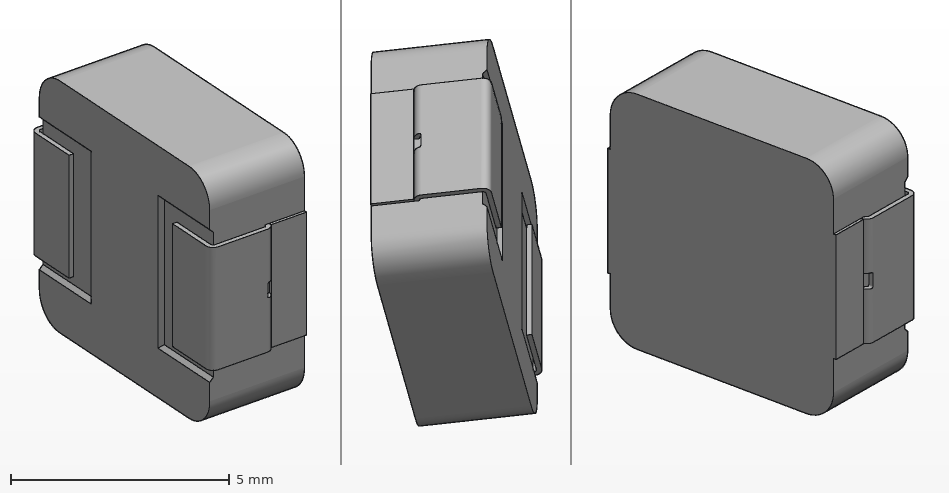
import cadquery as cq

overall_length = 7.0
overall_depth = 2.8

body_size = 6.6
body_half = body_size / 2
corner_radius = 0.8
foot_protrusion = 0.105
body_depth = overall_depth - foot_protrusion
back_y = overall_depth / 2
front_y = back_y - body_depth

recess_length = 2.01
recess_height = 4.005
recess_depth = 0.105
recess_wall_angle = 45

terminal_height = 3.22
terminal_thickness = 0.125
bend_radius = 0.2
foot_length = 1.5
plate_thickness = 0.08
plate_depth = 1.0
terminal_outer_x = overall_length / 2
terminal_front_y = -overall_depth / 2
bend_y = back_y - plate_depth

notch_height = 0.405
notch_depth = 0.19
notch_corner_radius = 0.05


def box_between(x_range, y_range, height):
    """Box spanning the given X and Y ranges, centred on Z = 0."""
    (x0, x1), (y0, y1) = x_range, y_range
    return (
        cq.Workplane("XY")
        .box(x1 - x0, y1 - y0, height)
        .translate(((x0 + x1) / 2, (y0 + y1) / 2, 0))
    )


def make_body():
    body = box_between((-body_half, body_half), (front_y, back_y), body_size)
    return body.edges("|Y").fillet(corner_radius)


def make_recess():
    """Cutter with sloped walls, centred on the side face so that it opens sideways."""
    return (
        cq.Workplane("XZ", origin=(body_half, front_y, 0))
        .rect(2 * recess_length, recess_height)
        .extrude(-recess_depth, taper=recess_wall_angle)
    )


def make_strip():
    """Bent strip: out of the side face, forward along the side, then under the front face."""
    foot_end_x = terminal_outer_x - foot_length
    outer = box_between((foot_end_x, terminal_outer_x), (terminal_front_y, bend_y), terminal_height)
    outer = outer.edges("|Z and >X").fillet(bend_radius)
    inner = box_between(
        (foot_end_x, terminal_outer_x - terminal_thickness),
        (terminal_front_y + terminal_thickness, bend_y - terminal_thickness),
        terminal_height,
    )
    inner = inner.edges("|Z and >X").fillet(bend_radius - terminal_thickness)
    strip = outer.cut(inner)
    inside_body = box_between((foot_end_x, body_half), (front_y + recess_depth, bend_y), terminal_height)
    return strip.cut(inside_body)


def make_notch():
    notch = box_between((body_half, terminal_outer_x), (bend_y - notch_depth, bend_y), notch_height)
    return notch.edges("|X and <Y").fillet(notch_corner_radius)


def make_terminal():
    plate = box_between((body_half, body_half + plate_thickness), (bend_y, back_y), terminal_height)
    return make_strip().cut(make_notch()).union(plate)


def both_sides(shape):
    return shape, shape.mirror("YZ")


result = make_body()
for recess in both_sides(make_recess()):
    result = result.cut(recess)
for terminal in both_sides(make_terminal()):
    result = result.union(terminal)